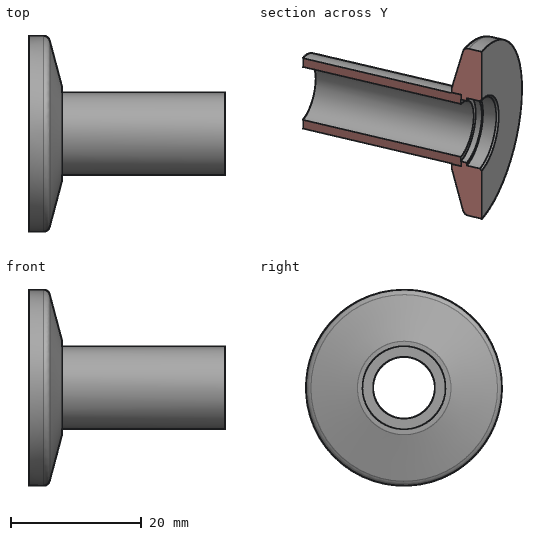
import cadquery as cq
import math

overall_length = 30.0

tube_diameter = 12.7
tube_bore_diameter = 9.4

flange_diameter = 30.0
hub_diameter = 14.3
cone_start = 3.0
cone_angle = 15.0
rim_fillet = 1.0

flange_bore_diameter = 12.0
lip_bore_diameter = 11.0
mouth_chamfer = 0.3
lip_start = 2.5
lip_thickness = 1.0

mouth_diameter = flange_bore_diameter + 2 * mouth_chamfer
lip_end = lip_start + lip_thickness
cone_rise = (flange_diameter - hub_diameter) / 2 * math.tan(math.radians(cone_angle))
hub_end = cone_start + cone_rise


def revolve_about_x(points):
    """Turn a closed outline of (position, radius) points around the X axis."""
    return cq.Workplane("XZ").polyline(points).close().revolve(360, (0, 0, 0), (1, 0, 0))


def rounded_rim(body):
    """Round the edge between the rim and the tapered back."""
    margin = 0.1
    edge_zone = cq.selectors.BoxSelector(
        (cone_start - margin, -flange_diameter, -flange_diameter),
        (cone_start + margin, flange_diameter, flange_diameter),
    )
    return body.edges(edge_zone).edges("%CIRCLE").fillet(rim_fillet)


def make_flange():
    """Clamping flange with a chamfered bore, a locating lip and a socket for the tube."""
    outline = [
        (0, mouth_diameter / 2),
        (0, flange_diameter / 2),
        (cone_start, flange_diameter / 2),
        (hub_end, hub_diameter / 2),
        (hub_end, tube_diameter / 2),
        (lip_end, tube_diameter / 2),
        (lip_end, lip_bore_diameter / 2),
        (lip_start, lip_bore_diameter / 2),
        (lip_start, flange_bore_diameter / 2),
        (mouth_chamfer, flange_bore_diameter / 2),
    ]
    return rounded_rim(revolve_about_x(outline))


def make_tube():
    """Plain tube seated against the lip and running to the far end."""
    outline = [
        (lip_end, tube_bore_diameter / 2),
        (lip_end, tube_diameter / 2),
        (overall_length, tube_diameter / 2),
        (overall_length, tube_bore_diameter / 2),
    ]
    return revolve_about_x(outline)


flange = make_flange()
tube = make_tube()
result = cq.Compound.makeCompound([flange.val(), tube.val()])